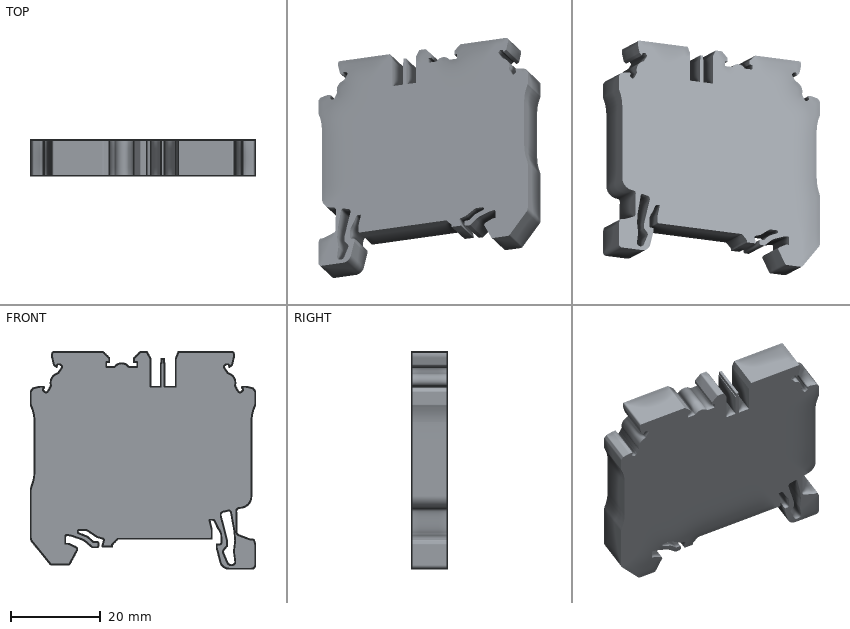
import cadquery as cq
import math

LENGTH = 50.0
WIDTH = 8.0
HEIGHT = 48.25
HALF_LENGTH = LENGTH / 2
HALF_WIDTH = WIDTH / 2

WAIST_X = 24.15
RAIL_Z = 6.68
LEFT_FOOT_Z = 0.9

GROOVE_X = -4.74
GROOVE_MOUTH = 4.14
GROOVE_NECK = 2.72
GROOVE_HALF = 3.42
GROOVE_LIP_TOP = 46.84
GROOVE_LIP_Z = 46.0
GROOVE_FLOOR_Z = 44.93
RIDGE_FOOT = 1.58
RIDGE_APEX_Z = 46.75
RIDGE_RADIUS = 1.9

SLOT_LEFT = 1.67
SLOT_RIGHT = 7.28
SLOT_FLOOR_Z = 40.53
SLOT_CHAMFER_Z = 46.8
SLOT_MOUTH_LEFT = 0.88
SLOT_MOUTH_RIGHT = 7.9
PARTITION_LEFT = 3.95
PARTITION_RIGHT = 4.82
PARTITION_TOP_Z = 46.7
PARTITION_STEP_Z = 45.75
PARTITION_STEP = 0.13

SCREW_XS = (-12.9, 12.9)
SCREW_Y = -0.25
SCREW_DIAMETER = 5.85
SCREW_DEPTH = 1.0
DRIVER_SLOT_WIDTH = 1.07
DRIVER_SLOT_ANGLE = -45.0

BAR_WIDTH = 6.3
BAR_DEPTH = 0.5

PANEL_Y = (-2.54, 2.04)
PANEL_Z = (23.4, 29.0)
PANEL_CORNER = 0.7
SURROUND_Z = (22.0, 32.5)
PANEL_DEPTH = 0.5


def upper_shoulder():
    """Right-hand end from the top corner to the waist, with its marker-strip catch."""
    return [
        (20.2, HEIGHT, 0.4),
        (20.3, 47.3, 1.5),
        (19.85, 45.4, 0.1),
        (19.25, 44.9),
        (19.05, 45.5, 0.15),
        (18.4, 45.5, 0.2),
        (17.95, 44.95, 0.1),
        (18.85, 43.6, 0.5),
        (20.98, 42.6, 2.2),
        (20.5, 40.75),
        (21.0, 39.8),
        (21.5, 39.1, 0.4),
        (22.3, 39.75, 0.2),
        (22.0, 40.4, 0.1),
        (22.2, 40.55),
        (22.9, 40.55, 0.5),
        (24.45, 40.2, 0.3),
        (HALF_LENGTH, 39.5, 0.5),
        (HALF_LENGTH, 36.45, 0.5),
        (WAIST_X, 34.45, 9.0),
    ]


def mirrored_back(points):
    """The same points on the other end, in reverse order."""
    return [(-point[0],) + point[1:] for point in reversed(points)]


def marking_groove():
    ridge_apex = (GROOVE_X, RIDGE_APEX_Z, RIDGE_RADIUS)
    right_side = [
        (GROOVE_X + RIDGE_FOOT, GROOVE_FLOOR_Z, 0.35),
        (GROOVE_X + GROOVE_HALF, GROOVE_FLOOR_Z, 0.15),
        (GROOVE_X + GROOVE_HALF, GROOVE_LIP_Z),
        (GROOVE_X + GROOVE_NECK, GROOVE_LIP_Z),
        (GROOVE_X + GROOVE_NECK, GROOVE_LIP_TOP),
        (GROOVE_X + GROOVE_MOUTH, HEIGHT, 0.4),
    ]
    left_side = [(2 * GROOVE_X - point[0],) + point[1:] for point in reversed(right_side)]
    return left_side + [ridge_apex] + right_side


def jumper_slot():
    return [
        (SLOT_MOUTH_LEFT, HEIGHT),
        (SLOT_LEFT, SLOT_CHAMFER_Z),
        (SLOT_LEFT, SLOT_FLOOR_Z),
        (PARTITION_LEFT, SLOT_FLOOR_Z),
        (PARTITION_LEFT, PARTITION_STEP_Z),
        (PARTITION_LEFT + PARTITION_STEP, PARTITION_STEP_Z),
        (PARTITION_LEFT + PARTITION_STEP, PARTITION_TOP_Z),
        (PARTITION_RIGHT - PARTITION_STEP, PARTITION_TOP_Z),
        (PARTITION_RIGHT - PARTITION_STEP, PARTITION_STEP_Z),
        (PARTITION_RIGHT, PARTITION_STEP_Z),
        (PARTITION_RIGHT, SLOT_FLOOR_Z),
        (SLOT_RIGHT, SLOT_FLOOR_Z),
        (SLOT_RIGHT, SLOT_CHAMFER_Z),
        (SLOT_MOUTH_RIGHT, HEIGHT),
    ]


def spring_foot():
    """Right-hand foot on its thin spring leg, from the waist round to the rail face."""
    return [
        (WAIST_X, 13.9, 2.6),
        (20.8, 13.4, 0.6),
        (20.87, 7.65, 0.7),
        (23.75, 6.57, 0.5),
        (24.7, 6.5, 0.3),
        (HALF_LENGTH, 5.5, 0.5),
        (HALF_LENGTH, 0.0, 0.8),
        (17.6, 0.0, 2.0),
        (16.4, 4.6, 0.5),
        (16.4, 5.45),
        (17.45, 5.45, 0.4),
        (17.4, 7.9, 2.5),
        (16.6, 9.2, 4.0),
        (15.8, 10.9, 0.6),
        (14.8, 10.9, 0.1),
        (15.35, 8.6, 1.0),
        (15.35, RAIL_Z, 0.2),
    ]


def fixed_foot():
    """Left-hand hooked foot with its spring tongue, from the rail face to the waist."""
    return [
        (-5.6, RAIL_Z),
        (-6.85, 5.4),
        (-6.85, 4.93),
        (-9.1, 4.93, 0.2),
        (-8.65, 6.6, 0.3),
        (-10.2, 7.05, 1.0),
        (-12.5, 8.6, 1.0),
        (-14.5, 8.6, 0.25),
        (-14.5, 8.0, 0.2),
        (-12.35, 7.15, 2.0),
        (-11.05, 5.97),
        (-9.9, 5.97, 0.3),
        (-9.9, 4.74, 0.5),
        (-11.25, 4.74),
        (-13.2, 6.4, 4.0),
        (-15.8, 7.3),
        (-17.25, 7.6, 0.3),
        (-17.25, 5.6),
        (-16.6, 5.6),
        (-14.9, 4.8, 0.3),
        (-14.55, 4.35, 0.2),
        (-16.4, LEFT_FOOT_Z, 0.5),
        (-20.5, LEFT_FOOT_Z, 0.7),
        (-HALF_LENGTH, 6.43, 1.4),
        (-HALF_LENGTH, 17.85, 1.9),
        (-WAIST_X, 20.15, 10.3),
    ]


def spring_window():
    """Closed opening that frees the spring leg of the right-hand foot."""
    return [
        (19.47, 13.05, 0.5),
        (20.3, 8.5),
        (20.5, 6.2, 2.0),
        (20.2, 3.9, 0.5),
        (20.6, 1.0, 0.7),
        (19.1, 0.7, 0.9),
        (17.7, 3.9, 0.7),
        (18.7, 5.05),
        (18.7, 6.4, 1.0),
        (17.15, 12.5, 0.7),
    ]


def rounded_outline(points):
    """Closed wire in the XZ plane, each corner rounded by a tangent arc of its own radius."""
    wire = None
    count = len(points)
    for index, point in enumerate(points):
        corner = cq.Vector(point[0], point[1])
        before = cq.Vector(*points[index - 1][:2])
        after = cq.Vector(*points[(index + 1) % count][:2])
        radius = point[2] if len(point) > 2 else 0.0
        to_before = (before - corner).normalized()
        to_after = (after - corner).normalized()
        half_angle = to_before.getAngle(to_after) / 2
        setback = radius / math.tan(half_angle)
        start = corner + to_before * setback
        if wire is None:
            wire = cq.Workplane("XZ", origin=(0, HALF_WIDTH, 0)).moveTo(start.x, start.y)
        else:
            wire = wire.lineTo(start.x, start.y)
        if radius > 0:
            bisector = (to_before + to_after).normalized()
            middle = corner + bisector * (radius / math.sin(half_angle) - radius)
            end = corner + to_after * setback
            wire = wire.threePointArc((middle.x, middle.y), (end.x, end.y))
    return wire.close()


def housing():
    shoulder = upper_shoulder()
    outline = mirrored_back(shoulder) + marking_groove() + jumper_slot() + shoulder
    outline += spring_foot() + fixed_foot()
    body = rounded_outline(outline).extrude(WIDTH)
    window = rounded_outline(spring_window()).extrude(WIDTH)
    return body.cut(window)


def inlay(body, insert):
    """Seat an insert flush in the body, keeping its outline on the surface."""
    return body.cut(insert, clean=False).union(insert, clean=False)


def add_screw(body, x):
    """Flush screw head whose driver slot is filled level with the top face."""
    head = (
        cq.Workplane("XY", origin=(x, SCREW_Y, HEIGHT - SCREW_DEPTH))
        .circle(SCREW_DIAMETER / 2)
        .extrude(SCREW_DEPTH)
    )
    driver_slot = (
        cq.Workplane("XY", origin=(x, SCREW_Y, HEIGHT - SCREW_DEPTH))
        .transformed(rotate=(0, 0, DRIVER_SLOT_ANGLE))
        .rect(SCREW_DIAMETER, DRIVER_SLOT_WIDTH)
        .extrude(SCREW_DEPTH)
        .intersect(head)
    )
    return inlay(inlay(body, head), driver_slot)


def add_contact_bar(body):
    """Contact bar exposed in the slot floor on both sides of the partition."""
    for left, right in ((SLOT_LEFT, PARTITION_LEFT), (PARTITION_RIGHT, SLOT_RIGHT)):
        bar = (
            cq.Workplane("XY", origin=((left + right) / 2, 0, SLOT_FLOOR_Z - BAR_DEPTH))
            .rect(right - left, BAR_WIDTH)
            .extrude(BAR_DEPTH)
        )
        body = inlay(body, bar)
    return body


def add_end_panel(body):
    """Flush panel, and the upper and lower surround pieces mitred to its corners."""
    face = cq.Workplane("YZ", origin=(-WAIST_X, 0, 0))
    near, far = PANEL_Y
    low, high = PANEL_Z
    for panel_z, outer_z in ((low, SURROUND_Z[0]), (high, SURROUND_Z[1])):
        piece = (
            face.polyline([(-HALF_WIDTH, outer_z), (HALF_WIDTH, outer_z), (far, panel_z), (near, panel_z)])
            .close()
            .extrude(PANEL_DEPTH)
        )
        body = inlay(body, piece)
    panel = (
        face.center((near + far) / 2, (low + high) / 2)
        .rect(far - near, high - low)
        .extrude(PANEL_DEPTH)
        .edges("|X and <Z")
        .fillet(PANEL_CORNER)
    )
    return inlay(body, panel)


result = housing()
for screw_x in SCREW_XS:
    result = add_screw(result, screw_x)
result = add_contact_bar(result)
result = add_end_panel(result)